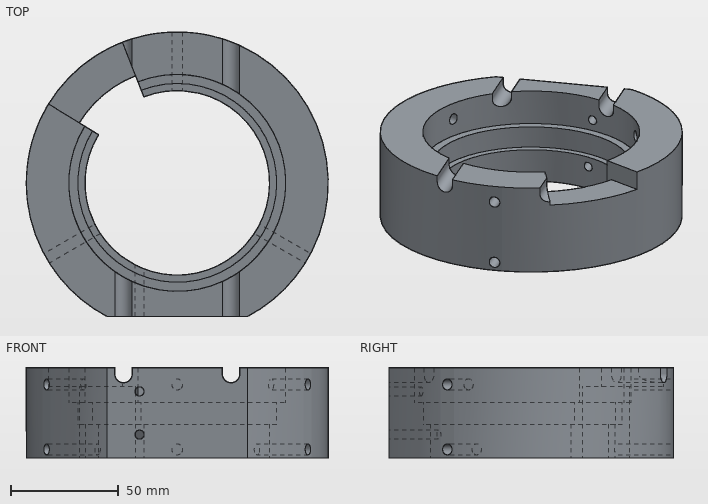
import cadquery as cq
import math

outer_radius = 70.0
height = 42.0
front_flat_y = -62.0

bore_radius = 42.7
middle_radius = 46.0
upper_radius = 50.2
lower_step_z = 15.7
upper_step_z = 25.8

opening_start_angle = 111.3
opening_end_angle = 148.5
opening_wall_radius = 53.2
opening_depth = 8.7

slot_x = 24.9
slot_width = 8.0
slot_depth = 7.0

radial_hole_angles = (-30, 90, 210)
radial_hole_diameter = 5.0
radial_hole_heights = (4.0, 34.2)
rim_flat_width = 7.3

front_hole_x = -17.5
front_hole_diameter = 4.2
front_hole_heights = (10.9, 31.0)


def cylinder(radius, bottom, top):
    return cq.Workplane("XY").workplane(offset=bottom).circle(radius).extrude(top - bottom)


def opening_wedge():
    """Full-height sector that reaches beyond the rim."""
    reach = 2 * outer_radius
    start = math.radians(opening_start_angle)
    end = math.radians(opening_end_angle)
    return (
        cq.Workplane("XY")
        .lineTo(reach * math.cos(start), reach * math.sin(start))
        .lineTo(reach * math.cos(end), reach * math.sin(end))
        .close()
        .extrude(height)
    )


def top_slot():
    """Slot cutter along the full length of Y, centred on X = 0."""
    slot_radius = slot_width / 2
    wall_bottom = height - slot_depth + slot_radius
    return (
        cq.Workplane("XZ", origin=(0, outer_radius, 0))
        .moveTo(-slot_radius, height)
        .lineTo(-slot_radius, wall_bottom)
        .threePointArc((0, height - slot_depth), (slot_radius, wall_bottom))
        .lineTo(slot_radius, height)
        .close()
        .extrude(2 * outer_radius)
    )


def radial_holes():
    """Pair of holes along +X, from the axis out through the rim."""
    points = [(0, z) for z in radial_hole_heights]
    return cq.Workplane("YZ").pushPoints(points).circle(radial_hole_diameter / 2).extrude(outer_radius)


def rim_flat():
    """Block that shaves a narrow full-height flat on the +X side of the rim."""
    flat_distance = math.sqrt(outer_radius**2 - (rim_flat_width / 2) ** 2)
    return (
        cq.Workplane("XY")
        .center(flat_distance, 0)
        .rect(outer_radius - flat_distance, rim_flat_width)
        .extrude(height)
        .translate(((outer_radius - flat_distance) / 2, 0, 0))
    )


body = cylinder(outer_radius, 0, height)
front_cut = cq.Workplane("XY").box(2 * outer_radius, outer_radius, height, centered=(True, False, False))
body = body.cut(front_cut.translate((0, front_flat_y - outer_radius, 0)))
body = body.cut(cylinder(bore_radius, 0, height))
body = body.cut(cylinder(middle_radius, lower_step_z, height))
body = body.cut(cylinder(upper_radius, upper_step_z, height))

opening_tool = cylinder(opening_wall_radius, 0, height).union(
    cylinder(outer_radius, height - opening_depth, height)
)
body = body.cut(opening_wedge().intersect(opening_tool))

for side in (-1, 1):
    body = body.cut(top_slot().translate((side * slot_x, 0, 0)))

for angle in radial_hole_angles:
    for tool in (rim_flat(), radial_holes()):
        body = body.cut(tool.rotate((0, 0, 0), (0, 0, 1), angle))

front_holes = (
    cq.Workplane("XZ")
    .pushPoints([(front_hole_x, z) for z in front_hole_heights])
    .circle(front_hole_diameter / 2)
    .extrude(outer_radius)
)
result = body.cut(front_holes)